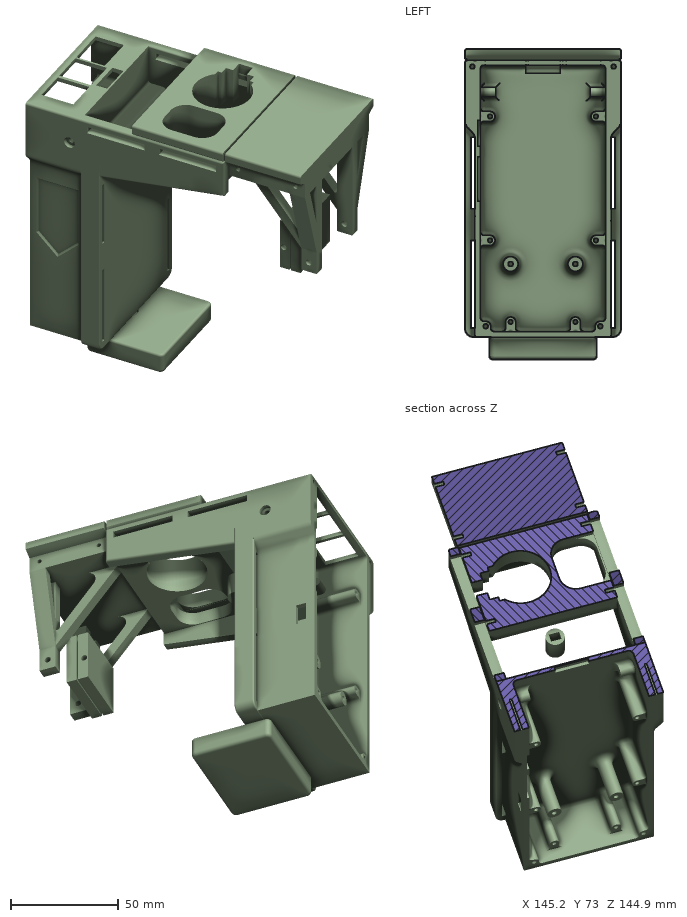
import cadquery as cq

HALF_WIDTH = 36.5
TOP_Z = 139.5
BOTTOM_Z = 10.5
FULL_HEIGHT = 144.9
EDGE_FILLET = 1.2
CUT_CLEAR = 1.5

BOX_DEPTH = 29.0
REAR_X = 39.0
BACK_BLOCK_TOP = 118.9
BACK_BLOCK_TOP_FILLET = 2.8
BACK_BLOCK_CORNER_FILLET = 1.3
BACK_BLOCK_EDGE_FILLET = 0.7
BACK_BLOCK_BOTTOM_FILLET = 4.0
BOX_HALF_WIDTH = 31.8
TAPER_TOP = 109.6
TAPER_BOTTOM = 104.7
TAPER_FILLET = 3.6

CAVITY_HALF_WIDTH = 29.2
CAVITY_BOTTOM = 13.0
CAVITY_TOP = 137.3
CAVITY_FLOOR_X = 26.7
FLOOR_FILLET = 2.2

POST_RADIUS = 2.3
POST_FLARE = 1.7
POST_HOLE = 2.0
SIDE_POST_Y = 24.7
SIDE_POST_HEIGHTS = (113.4, 55.6)
SIDE_POST_TIP = 3.5
BOTTOM_POST_Y = 15.1
BOTTOM_POST_Z = 17.5
INNER_POST_TIP = 5.8
CORNER_POST_Y = 26.7
CORNER_POST_Z = 15.5
COVER_HOLE = 2.2
TOP_COVER_HOLE_Y = 33.0
TOP_COVER_HOLE_Z = 136.6
COVER_HOLE_DEPTH = 17.4

STANDOFF_Z = 44.5
STANDOFF_DIAMETER = 7.0
STANDOFF_HOLE = 2.3
STANDOFF_FILLET = 4.2

CABLE_SLOT_Y = (31.5, 33.5)
CABLE_SLOTS = ((70.4, 103.6), (14.8, 55.5))

DECK_WINDOWS = (
    (3.5, 18.5, 7.8, 27.0),
    (3.5, 20.2, -9.1, 6.8),
    (3.5, 20.2, -26.9, -10.7),
)
CABLE_POCKET_X = (22.4, 28.2)
CABLE_POCKET_HALF_WIDTH = 8.1
CABLE_POCKET_BOTTOM = 133.4

WALL_RECESS_DEPTH = 1.2
PLUG_RECESS = (14.5, 99.5, 111.6)
PLUG_RECESS_CORNER = 5.8
SWITCH_RECESS = (10.7, 73.9, 94.5)
WALL_WINDOW = (4.4, 9.6, 55.6, 66.8)

BADGE_CENTER_X = 14.5
BADGE_HALF_WIDTH = 11.2
BADGE_TOP = 95.4
BADGE_SHOULDER = 64.6
BADGE_TIP = 54.0
BADGE_DEPTH = 0.9
BADGE_WALL_ANGLE = 45

ARM_INNER_Y = 31.5
ARM_END_X = 104.7
ARM_ROOT_BOTTOM = 110.2
ARM_END_BOTTOM = 120.3
ARM_INNER_FILLET = 0.7
TONGUE_X = 2.9
TONGUE_BOTTOM = BACK_BLOCK_TOP
TONGUE_TOP = 130.8
SLOT_Z = 134.8
SLOT_HEIGHT = 3.5
ARM_SLOTS = ((32.5, 62.7), (70.4, 100.6))
SCREW_X = 23.2
SCREW_Z = 124.7
SCREW_HOLE = 2.8
SCREW_HEAD = 5.7
SCREW_HEAD_DEPTH = 2.2
SCREW_BOSS_DIAMETER = 4.5
SCREW_BOSS_TIP_Y = 22.0

PLATE_EDGE_BOTTOM = 140.5
TRAY_X = (56.2, 104.0)
TRAY_BLOCK_HALF_WIDTH = 31.4
TRAY_BLOCK_BOTTOM = 126.3
CUP_X = 80.3
CUP_Y = 8.5
CUP_RADIUS = 14.2
CUP_NOTCHES = ((9.5, 21.6), (7.4, 25.8), (3.6, 31.8))
OVAL_X = (66.2, 94.0)
OVAL_Y = (-30.8, -8.5)
OVAL_CORNER = 8.0
TRAY_PINS_X = (61.1, 99.3)
PIN_HOLE = 2.2
PIN_HOLE_DEPTH = 4.4

SHELF_X = (105.2, 145.2)
SHELF_BLOCK_HALF_WIDTH = 32.0
SHELF_BLOCK_TOP = 138.3
SHELF_BLOCK_BOTTOM = 130.0
SHELF_PINS_X = (109.9, 140.0)
LEG_OUTER_Y = 20.3
LEG_THICKNESS = 5.1
LEG_X = 137.0
LEG_BOTTOM = 79.7
LEG_HOLE = (141.0, 84.9)
PIVOT_HOLE = 3.0
BRACE_FOOT_Z = 91.9
BRACE_OPENING_X = 111.8
BRACE_OPENING_FOOT_Z = 99.5
BRACE_OPENING_FILLET = 4.4
BRACE_FOOT_FILLET = 1.0
STRUT_THICKNESS = 5.0
STRUT_OPENING_FOOT_Z = 108.0

JAW_HALF_WIDTH = 14.8
JAW_Z = (73.2, 99.6)
INNER_JAW_X = (122.8, 127.9)
OUTER_JAW_X = (128.7, 133.7)
JAW_HOLE = (124.8, 84.9)
JAW_HOLE_DEPTH = 7.3

PAD_X = (25.8, 66.3)
PAD_HALF_WIDTH = 25.1
PAD_CORNER_FILLET = 2.5
PAD_TOP_FILLET = 1.2
PAD_BOTTOM_FILLET = 1.7
PAD_RECESS_X = 33.7
PAD_RECESS_DIAMETER = 12.0
PAD_RECESS_DEPTH = 2.9

KNOB_X = 53.4
KNOB_DIAMETER = 9.0
KNOB_Z = (108.7, 120.0)
KNOB_SOCKET = (3.9, 5.1)
KNOB_SOCKET_DEPTH = 7.3


def box(x0, x1, y0, y1, z0, z1):
    """Box between two opposite corners."""
    return cq.Workplane("XY").box(x1 - x0, y1 - y0, z1 - z0, centered=False).translate((x0, y0, z0))


def rod_x(diameter, x0, x1, y, z):
    """Cylinder along x."""
    return cq.Workplane("YZ", origin=(x0, y, z)).circle(diameter / 2).extrude(x1 - x0)


def rod_y(diameter, y0, y1, x, z):
    """Cylinder along y."""
    return cq.Workplane("XZ", origin=(x, y0, z)).circle(diameter / 2).extrude(y0 - y1)


def slab_y(points, y0, y1):
    """Outline given in x and z, extruded from y0 to y1."""
    return cq.Workplane("XZ", origin=(0, y0, 0)).polyline(points).close().extrude(y0 - y1)


def slab_x(points, x0, x1):
    """Outline given in y and z, extruded from x0 to x1."""
    return cq.Workplane("YZ", origin=(x0, 0, 0)).polyline(points).close().extrude(x1 - x0)


def mirror_y(shape):
    return shape.mirror("XZ")


def arm_outline():
    return [
        (TONGUE_X, TONGUE_BOTTOM),
        (TONGUE_X, TONGUE_TOP),
        (BOX_DEPTH, TONGUE_TOP),
        (BOX_DEPTH, TOP_Z),
        (ARM_END_X, TOP_Z),
        (ARM_END_X, ARM_END_BOTTOM),
        (REAR_X, ARM_ROOT_BOTTOM),
        (REAR_X, TONGUE_BOTTOM),
    ]


def front_box():
    """Open box whose sides taper in below the arm sockets."""
    right_side = [
        (BOX_HALF_WIDTH, BOTTOM_Z),
        (BOX_HALF_WIDTH, TAPER_BOTTOM),
        (HALF_WIDTH, TAPER_TOP),
        (HALF_WIDTH, TOP_Z),
    ]
    left_side = [(-y, z) for y, z in reversed(right_side)]
    body = slab_x(right_side + left_side, 0, BOX_DEPTH)
    middle = BOX_DEPTH / 2
    for side in (-1, 1):
        for y, z in ((BOX_HALF_WIDTH, TAPER_BOTTOM), (HALF_WIDTH, TAPER_TOP)):
            body = body.edges(cq.NearestToPointSelector((middle, side * y, z))).fillet(TAPER_FILLET)
        body = body.edges(cq.NearestToPointSelector((middle, side * HALF_WIDTH, TOP_Z))).fillet(EDGE_FILLET)
    return body


def back_block():
    """Block behind the box that carries the arms on its top, with slots for cables."""
    block = box(BOX_DEPTH, REAR_X, -HALF_WIDTH, HALF_WIDTH, BOTTOM_Z, BACK_BLOCK_TOP)
    block = block.edges("|X and <Z").fillet(BACK_BLOCK_BOTTOM_FILLET)
    for x in (BOX_DEPTH, REAR_X):
        side_edge = cq.NearestToPointSelector((x, HALF_WIDTH, (BOTTOM_Z + BACK_BLOCK_TOP) / 2))
        block = block.edges(side_edge).fillet(BACK_BLOCK_EDGE_FILLET)
    flush_x = BOX_DEPTH + BACK_BLOCK_EDGE_FILLET
    block = block.union(box(BOX_DEPTH, flush_x, -HALF_WIDTH, HALF_WIDTH, TAPER_TOP, BACK_BLOCK_TOP))
    middle_bar = box(BOX_DEPTH, REAR_X, -ARM_INNER_Y, ARM_INNER_Y, TAPER_TOP, BACK_BLOCK_TOP)
    rounded_bar = middle_bar.edges(">X and >Z").fillet(BACK_BLOCK_TOP_FILLET)
    block = block.cut(middle_bar).union(rounded_bar)
    for bottom, top in CABLE_SLOTS:
        slot = box(BOX_DEPTH, REAR_X, *CABLE_SLOT_Y, bottom, top)
        block = block.cut(slot).cut(mirror_y(slot))
    return block


def wall_web(half_width, length, flare):
    """Outline of a web that starts at the origin and flares out where it ends on a wall."""
    bend = flare * (1 - 0.5 ** 0.5)
    wide = half_width + flare
    return (
        cq.Workplane("XY")
        .moveTo(-half_width, 0)
        .lineTo(-half_width, length - flare)
        .threePointArc((-half_width - bend, length - bend), (-wide, length))
        .lineTo(-wide, length + CUT_CLEAR)
        .lineTo(wide, length + CUT_CLEAR)
        .lineTo(wide, length)
        .threePointArc((half_width + bend, length - bend), (half_width, length - flare))
        .lineTo(half_width, 0)
        .close()
    )


def wall_post(y, z, tip_x, to_side, to_bottom):
    """Post along x, joined by a flared web to the +Y wall, the bottom wall or both."""
    height = BOX_DEPTH - tip_x
    post = rod_x(2 * POST_RADIUS, tip_x, BOX_DEPTH, y, z)
    if to_side:
        web = wall_web(POST_RADIUS, CAVITY_HALF_WIDTH - y, POST_FLARE).extrude(height)
        post = post.union(web.rotate((0, 0, 0), (0, 1, 0), 90).translate((tip_x, y, z)))
    if to_bottom:
        web = wall_web(POST_RADIUS, z - CAVITY_BOTTOM, POST_FLARE).extrude(height)
        web = web.rotate((0, 0, 0), (0, 1, 0), 90).rotate((0, 0, 0), (1, 0, 0), -90)
        post = post.union(web.translate((tip_x, y, z)))
    return post


def wall_posts():
    """Cover and board posts along the walls, as a list of solids."""
    posts = [wall_post(SIDE_POST_Y, z, SIDE_POST_TIP, True, False) for z in SIDE_POST_HEIGHTS]
    posts.append(wall_post(BOTTOM_POST_Y, BOTTOM_POST_Z, INNER_POST_TIP, False, True))
    posts.append(wall_post(CORNER_POST_Y, CORNER_POST_Z, 0, True, True))
    return posts + [mirror_y(post) for post in posts]


def screw_boss():
    """Boss behind the arm screw, joined to the cavity floor."""
    radius = SCREW_BOSS_DIAMETER / 2
    outer_y = CAVITY_HALF_WIDTH + CUT_CLEAR
    boss = rod_y(SCREW_BOSS_DIAMETER, SCREW_BOSS_TIP_Y, outer_y, SCREW_X, SCREW_Z)
    return boss.union(
        box(SCREW_X, BOX_DEPTH, SCREW_BOSS_TIP_Y, outer_y, SCREW_Z - radius, SCREW_Z + radius)
    )


def cavity():
    """Inside of the box: posts and bosses are left standing, and the floor edges are rounded."""
    space = box(
        0, CAVITY_FLOOR_X, -CAVITY_HALF_WIDTH, CAVITY_HALF_WIDTH, CAVITY_BOTTOM, CAVITY_TOP
    )
    space = space.edges("|X and >Z").fillet(POST_FLARE)
    for post in wall_posts():
        space = space.cut(post)
    space = space.cut(screw_boss()).cut(mirror_y(screw_boss()))
    return space.faces(">X").edges().fillet(FLOOR_FILLET)


def standoff(y):
    """Free-standing post with a wide fillet at its foot and a blind hole."""
    radius = STANDOFF_DIAMETER / 2
    flare_x = CAVITY_FLOOR_X - STANDOFF_FILLET
    bend = STANDOFF_FILLET * (1 - 0.5 ** 0.5)
    profile = (
        cq.Workplane("XY", origin=(0, y, STANDOFF_Z))
        .moveTo(INNER_POST_TIP, 0)
        .lineTo(INNER_POST_TIP, radius)
        .lineTo(flare_x, radius)
        .threePointArc(
            (CAVITY_FLOOR_X - bend, radius + bend),
            (CAVITY_FLOOR_X, radius + STANDOFF_FILLET),
        )
        .lineTo(CAVITY_FLOOR_X, 0)
        .close()
    )
    post = profile.revolve(360, (0, 0, 0), (1, 0, 0))
    return post.cut(rod_x(STANDOFF_HOLE, INNER_POST_TIP, flare_x, y, STANDOFF_Z))


def post_holes():
    """Blind holes in the posts and in the front rim of the box."""
    places = [(SIDE_POST_Y, z, POST_HOLE, SIDE_POST_TIP) for z in SIDE_POST_HEIGHTS]
    places.append((BOTTOM_POST_Y, BOTTOM_POST_Z, POST_HOLE, INNER_POST_TIP))
    places.append((CORNER_POST_Y, CORNER_POST_Z, COVER_HOLE, 0))
    places.append((TOP_COVER_HOLE_Y, TOP_COVER_HOLE_Z, COVER_HOLE, 0))
    holes = []
    for y, z, diameter, tip_x in places:
        hole = rod_x(diameter, tip_x, tip_x + COVER_HOLE_DEPTH, y, z)
        holes += [hole, mirror_y(hole)]
    return holes


def deck_openings():
    """Windows through the deck and the cable pocket behind them."""
    above = TOP_Z + CUT_CLEAR
    openings = [box(x0, x1, y0, y1, CAVITY_TOP - CUT_CLEAR, above) for x0, x1, y0, y1 in DECK_WINDOWS]
    x0, x1 = CABLE_POCKET_X
    half = CABLE_POCKET_HALF_WIDTH
    openings.append(box(x0, x1, -half, half, CABLE_POCKET_BOTTOM, above))
    return openings


def wall_recesses():
    """Two shallow recesses and a window in the +Y wall."""
    inner_y = CAVITY_HALF_WIDTH
    recess_y = inner_y + WALL_RECESS_DEPTH
    end_x, bottom, top = PLUG_RECESS
    plug = box(0, end_x, inner_y, recess_y, bottom, top)
    plug = plug.edges("|Y and >X and <Z").fillet(PLUG_RECESS_CORNER)
    end_x, bottom, top = SWITCH_RECESS
    switch = box(0, end_x, inner_y, recess_y, bottom, top)
    x0, x1, bottom, top = WALL_WINDOW
    window = box(x0, x1, inner_y, BOX_HALF_WIDTH + CUT_CLEAR, bottom, top)
    return [plug, switch, window]


def badge_pocket():
    """Shield-shaped pocket with sloped walls."""
    left = BADGE_CENTER_X - BADGE_HALF_WIDTH
    right = BADGE_CENTER_X + BADGE_HALF_WIDTH
    shield = [
        (left, BADGE_TOP),
        (right, BADGE_TOP),
        (right, BADGE_SHOULDER),
        (BADGE_CENTER_X, BADGE_TIP),
        (left, BADGE_SHOULDER),
    ]
    face = cq.Workplane("XZ", origin=(0, -BOX_HALF_WIDTH, 0)).polyline(shield).close()
    return face.extrude(-BADGE_DEPTH, taper=BADGE_WALL_ANGLE)


def make_housing():
    body = front_box().union(back_block())
    corner = cq.NearestToPointSelector((BOX_DEPTH, 0, BACK_BLOCK_TOP))
    body = body.edges(corner).fillet(BACK_BLOCK_CORNER_FILLET)
    body = body.cut(cavity())
    for side in (-1, 1):
        body = body.union(standoff(side * BOTTOM_POST_Y))
    for cut in post_holes() + deck_openings() + wall_recesses() + [badge_pocket()]:
        body = body.cut(cut)
    arm_socket = slab_y(arm_outline(), ARM_INNER_Y, HALF_WIDTH + CUT_CLEAR)
    screw_hole = rod_y(SCREW_HOLE, SCREW_BOSS_TIP_Y + CUT_CLEAR, HALF_WIDTH, SCREW_X, SCREW_Z)
    for cut in (arm_socket, screw_hole):
        body = body.cut(cut).cut(mirror_y(cut))
    return body


def make_arm():
    """Arm on the +Y side, with its tongue, two slots and a counterbored screw hole."""
    arm = slab_y(arm_outline(), ARM_INNER_Y, HALF_WIDTH)
    long_middle = (BOX_DEPTH + ARM_END_X) / 2
    outer_edges = (
        (long_middle, TOP_Z),
        (ARM_END_X, (TOP_Z + ARM_END_BOTTOM) / 2),
        ((REAR_X + ARM_END_X) / 2, (ARM_ROOT_BOTTOM + ARM_END_BOTTOM) / 2),
    )
    picked = None
    for x, z in outer_edges:
        edge = arm.edges(cq.NearestToPointSelector((x, HALF_WIDTH, z)))
        picked = edge if picked is None else picked.add(edge)
    arm = picked.fillet(EDGE_FILLET)
    arm = arm.edges(cq.NearestToPointSelector((long_middle, ARM_INNER_Y, TOP_Z))).fillet(ARM_INNER_FILLET)
    for x0, x1 in ARM_SLOTS:
        z0 = SLOT_Z - SLOT_HEIGHT / 2
        arm = arm.cut(box(x0, x1, ARM_INNER_Y, HALF_WIDTH, z0, z0 + SLOT_HEIGHT))
    arm = arm.cut(rod_y(SCREW_HOLE, ARM_INNER_Y, HALF_WIDTH, SCREW_X, SCREW_Z))
    return arm.cut(rod_y(SCREW_HEAD, HALF_WIDTH - SCREW_HEAD_DEPTH, HALF_WIDTH, SCREW_X, SCREW_Z))


def cup_opening():
    """Round cup hole with a stepped notch on its +Y side."""
    bottom = TRAY_BLOCK_BOTTOM
    opening = cq.Workplane("XY", origin=(CUP_X, CUP_Y, bottom)).circle(CUP_RADIUS)
    opening = opening.extrude(FULL_HEIGHT - bottom)
    for half, end_y in CUP_NOTCHES:
        opening = opening.union(box(CUP_X - half, CUP_X + half, CUP_Y, end_y, bottom, FULL_HEIGHT))
    return opening


def oval_opening():
    """Rounded rectangular hole, with a side window level with the arm slots."""
    opening = box(*OVAL_X, *OVAL_Y, TRAY_BLOCK_BOTTOM, FULL_HEIGHT).edges("|Z").fillet(OVAL_CORNER)
    z0 = SLOT_Z - SLOT_HEIGHT / 2
    window = box(*OVAL_X, -TRAY_BLOCK_HALF_WIDTH, OVAL_Y[0] + OVAL_CORNER, z0, z0 + SLOT_HEIGHT)
    return opening.union(window)


def cut_pin_holes(body, pins_x, half_width):
    """Blind holes into both side faces, level with the arm slots."""
    for x in pins_x:
        hole = rod_y(PIN_HOLE, half_width - PIN_HOLE_DEPTH, half_width, x, SLOT_Z)
        body = body.cut(hole).cut(mirror_y(hole))
    return body


def make_tray():
    plate = box(*TRAY_X, -HALF_WIDTH, HALF_WIDTH, TOP_Z, FULL_HEIGHT)
    plate = plate.edges("|X and >Z").fillet(EDGE_FILLET)
    plate = plate.edges("|X and <Z").chamfer(PLATE_EDGE_BOTTOM - TOP_Z)
    half = TRAY_BLOCK_HALF_WIDTH
    tray = plate.union(box(*TRAY_X, -half, half, TRAY_BLOCK_BOTTOM, TOP_Z))
    tray = tray.cut(cup_opening()).cut(oval_opening())
    return cut_pin_holes(tray, TRAY_PINS_X, half)


def shelf_top():
    """Plate with a sloped underside at its sides, over a narrower block."""
    right_side = [
        (SHELF_BLOCK_HALF_WIDTH, SHELF_BLOCK_BOTTOM),
        (SHELF_BLOCK_HALF_WIDTH, SHELF_BLOCK_TOP),
        (HALF_WIDTH, PLATE_EDGE_BOTTOM),
        (HALF_WIDTH, FULL_HEIGHT),
    ]
    left_side = [(-y, z) for y, z in reversed(right_side)]
    top = slab_x(right_side + left_side, *SHELF_X).edges("|X and >Z").fillet(EDGE_FILLET)
    return cut_pin_holes(top, SHELF_PINS_X, SHELF_BLOCK_HALF_WIDTH)


def bracket():
    """Leg with its diagonal brace and the slanted strut beside it, on the +Y side."""
    end_x = SHELF_X[1]
    inner_y = LEG_OUTER_Y - LEG_THICKNESS
    plate = slab_y(
        [
            (SHELF_X[0], SHELF_BLOCK_BOTTOM),
            (end_x, SHELF_BLOCK_BOTTOM),
            (end_x, LEG_BOTTOM),
            (LEG_X, LEG_BOTTOM),
            (LEG_X, BRACE_FOOT_Z),
        ],
        inner_y,
        LEG_OUTER_Y,
    )
    opening = slab_y(
        [
            (BRACE_OPENING_X, SHELF_BLOCK_BOTTOM),
            (LEG_X, SHELF_BLOCK_BOTTOM),
            (LEG_X, BRACE_OPENING_FOOT_Z),
        ],
        inner_y,
        LEG_OUTER_Y,
    )
    opening = opening.edges("|Y and <X").fillet(BRACE_OPENING_FILLET)
    opening = opening.edges("|Y and <Z").fillet(BRACE_FOOT_FILLET)
    strut = slab_x(
        [
            (LEG_OUTER_Y, BRACE_FOOT_Z),
            (SHELF_BLOCK_HALF_WIDTH, SHELF_BLOCK_BOTTOM),
            (SHELF_BLOCK_HALF_WIDTH - STRUT_THICKNESS, SHELF_BLOCK_BOTTOM),
            (LEG_OUTER_Y, STRUT_OPENING_FOOT_Z),
        ],
        LEG_X,
        end_x,
    )
    pivot = rod_y(PIVOT_HOLE, inner_y, LEG_OUTER_Y, *LEG_HOLE)
    return plate.cut(opening).cut(pivot).union(strut)


def make_shelf():
    return shelf_top().union(bracket()).union(mirror_y(bracket()))


def make_jaw(jaw_x):
    return box(*jaw_x, -JAW_HALF_WIDTH, JAW_HALF_WIDTH, *JAW_Z)


def make_inner_jaw():
    """Jaw with a blind pivot hole in each end."""
    hole = rod_y(PIVOT_HOLE, JAW_HALF_WIDTH - JAW_HOLE_DEPTH, JAW_HALF_WIDTH, *JAW_HOLE)
    return make_jaw(INNER_JAW_X).cut(hole).cut(mirror_y(hole))


def make_pad():
    pad = box(*PAD_X, -PAD_HALF_WIDTH, PAD_HALF_WIDTH, 0, BOTTOM_Z)
    pad = pad.edges("|Z").fillet(PAD_CORNER_FILLET)
    pad = pad.faces(">Z").edges().fillet(PAD_TOP_FILLET)
    pad = pad.faces("<Z").edges().fillet(PAD_BOTTOM_FILLET)
    recess = cq.Workplane("XY", origin=(PAD_RECESS_X, 0, BOTTOM_Z)).circle(PAD_RECESS_DIAMETER / 2)
    return pad.cut(recess.extrude(-PAD_RECESS_DEPTH))


def make_knob():
    bottom, top = KNOB_Z
    knob = cq.Workplane("XY", origin=(KNOB_X, 0, bottom)).circle(KNOB_DIAMETER / 2).extrude(top - bottom)
    socket = cq.Workplane("XY", origin=(KNOB_X, 0, top)).rect(*KNOB_SOCKET).extrude(-KNOB_SOCKET_DEPTH)
    return knob.cut(socket)


housing = make_housing()
left_arm = make_arm()
arms = [left_arm, mirror_y(left_arm)]
tray = make_tray()
shelf = make_shelf()
inner_jaw = make_inner_jaw()
outer_jaw = make_jaw(OUTER_JAW_X)
pad = make_pad()
knob = make_knob()

result = cq.Compound.makeCompound([
    housing.val(),
    *[arm.val() for arm in arms],
    tray.val(),
    shelf.val(),
    inner_jaw.val(),
    outer_jaw.val(),
    pad.val(),
    knob.val(),
])